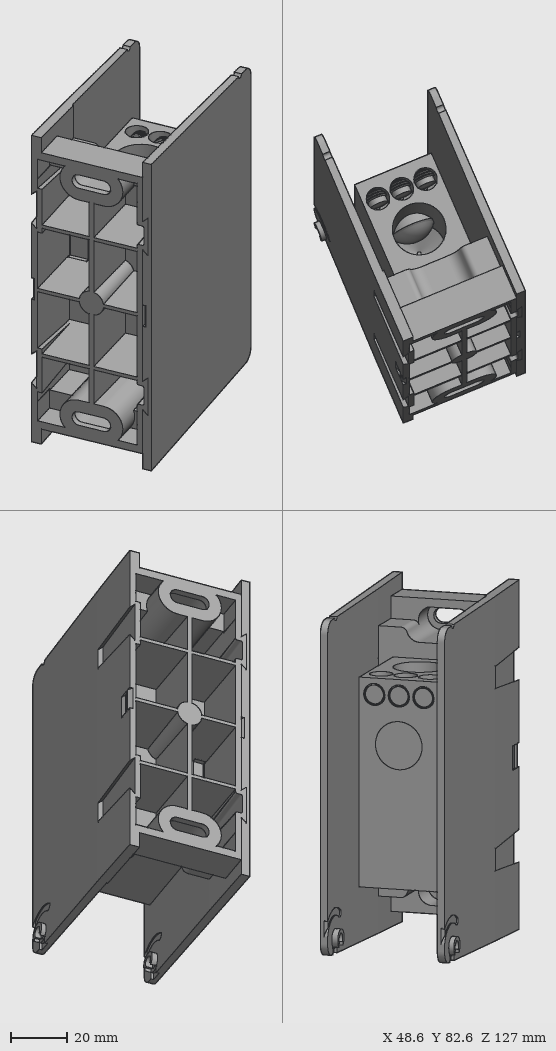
import cadquery as cq
import math

width = 48.6
height = 127.01
depth = 82.55
width_between_faces = 47.26

wall_thickness = 3.38
wall_end_slope = 0.034
wall_corner_radius = 4.6
wall_face_draft = 0.6
housing_wall_x = -width_between_faces / 2
plate_x = width_between_faces / 2 - wall_thickness
wall_foot_extra = 0.5
notch_y = 73.5
notch_radius = 1.15

hinge_y = 74.5
hinge_z = -55.4
hinge_diameter = 7.11
hinge_hole_diameter = 4.06
hinge_hole_floor = 0.4
housing_hinge_height = width - width_between_faces
plate_hinge_height = 1.7
channel_width = 4.6
channel_top_drop = 1.35
channel_depth = 1.0
groove_inner_radius = 8.3
groove_outer_radius = 11.1
groove_depth = 1.0
groove_end_angle = 33
groove_start_angle = 80
lead_in_length = 1.4
lead_in_depth = 2.0

base_half_width = plate_x
end_half_height = 57.25
end_depth = 13.0
deck_y = 26.75
skin = 1.5
end_skin = 3.2
cavity_left = -21.2
cavity_right = 18.0
cavity_half_height = 54.15
deep_cavity_half_height = 46.8
cavity_draft = 1.0
rib_thickness = 1.4
spine_thickness = 1.9
rib_spacing = 26.7
pillar_diameter = 9.6

ledge_height = 2.3
ledge_pocket_half_height = 13.1
ledge_pocket_skin = 0.75

slot_z = 49.1
deck_half_height = slot_z
slot_floor = 2.5
slot_length = 15.24
slot_width = 5.56
boss_spacing = 9.6
boss_radius = 7.6
recess_radius = 5.1
recess_mouth_radius = 2.3

dovetail_z = 33.1
dovetail_depth = 2.0
dovetail_mouth = 5.9
dovetail_floor = 7.7
dovetail_narrowing = 1.9
backing_half_width = 9.1
backing_thickness = 2.2
tab_pocket_end = 20.7
tab_pocket_half_width = 4.0
tab_pocket_narrowing = 1.4
tab_pocket_rounding = 0.7

snap_half_height = 4.4
snap_lip = 1.25
snap_lip_length = 1.8
snap_bar_end = 2.8
snap_floor_end = 5.2
snap_ramp_end = 7.1
snap_depth = 0.8

block_half_width = 14.83
block_half_height = 38.1
block_top_y = 65.0
main_bore_diameter = 19.05
main_bore_y = 41.1
main_bore_depth = 33.0
main_screw_diameter = 17.48
main_screw_tip_diameter = 15.88
main_screw_chamfer = 0.7
main_screw_tip_y = 42.4
main_screw_shoulder_y = 46.4
main_screw_inset = 24.0
tap_bore_diameter = 8.33
tap_bore_y = 57.0
tap_bore_pitch = 9.2
tap_positions = [index * tap_bore_pitch for index in (-1, 0, 1)]
tap_bore_depth = 12.0
tap_screw_diameter = 7.92
tap_screw_core = 6.91
tap_screw_tip_y = 55.4
tap_screw_shoulder_y = 56.0
tap_screw_thread_y = 58.2
tap_screw_inset = 6.0
thread_pitch = 0.9
drill_point_angle = 118
drill_point_flat = 1.4


def box(x_range, y_range, z_range):
    """Box between the given limits."""
    size = [high - low for low, high in (x_range, y_range, z_range)]
    corner = (x_range[0], y_range[0], z_range[0])
    return cq.Workplane("XY").box(*size, centered=False).translate(corner)


def side_prism(x_near, near_half, x_far, far_half, centre_z, narrowing, y_end):
    """Trapezoid in XZ that narrows along Z while it runs from the mounting face to y_end."""
    def outline(loss):
        return [
            (x_near, centre_z - near_half + loss),
            (x_far, centre_z - far_half + loss),
            (x_far, centre_z + far_half - loss),
            (x_near, centre_z + near_half - loss),
        ]

    return (
        cq.Workplane("XZ").polyline(outline(0)).close()
        .workplane(offset=-y_end).polyline(outline(narrowing)).close()
        .loft(ruled=True)
    )


def dovetail(face_x, centre_z):
    """Dovetail that starts at a wall face and widens towards +X."""
    return side_prism(
        face_x, dovetail_mouth, face_x + dovetail_depth, dovetail_floor,
        centre_z, dovetail_narrowing, deck_y,
    )


def wall_blank(face_x, thickness):
    """Flat wall with sloping ends and rounded outer corners."""
    edge_half = height / 2 - wall_end_slope * depth
    outline = [(0, -height / 2), (depth, -edge_half), (depth, edge_half), (0, height / 2)]
    blank = cq.Workplane("YZ").polyline(outline).close().extrude(thickness)
    return blank.edges("|X and >Y").fillet(wall_corner_radius).translate((face_x, 0, 0))


def edge_notch(face_x):
    """Half-round notch in the +Z end of a wall."""
    end_z = height / 2 - wall_end_slope * notch_y
    return cq.Workplane("YZ", origin=(face_x, notch_y, end_z)).circle(notch_radius).extrude(wall_thickness)


def face_draft(face_x):
    """Wedge that sets the -X face back between the deck and the wall edge."""
    outline = [(face_x, deck_y), (face_x + wall_face_draft, depth), (face_x, depth)]
    return cq.Workplane("XY").polyline(outline).close().extrude(height / 2, both=True)


def snap_recess(face_x):
    """Lead-in chamfer and ramped pocket on a wall face, either side of a flush bar."""
    lead_in = [(face_x, 0), (face_x + snap_lip, 0), (face_x, snap_lip_length)]
    pocket = [
        (face_x, snap_bar_end),
        (face_x + snap_depth, snap_bar_end),
        (face_x + snap_depth, snap_floor_end),
        (face_x, snap_ramp_end),
    ]
    sketch = cq.Workplane("XY").polyline(lead_in).close().polyline(pocket).close()
    return sketch.extrude(snap_half_height, both=True)


def around_hinge(radius, angle):
    """Point in YZ about the hinge axis; the angle is from +Z towards +Y."""
    turn = math.radians(angle)
    return (hinge_y + radius * math.sin(turn), hinge_z + radius * math.cos(turn))


def guide_groove(face_x):
    """Arc groove about the hinge axis, round at one end and open at the wall edge."""
    middle_radius = (groove_inner_radius + groove_outer_radius) / 2
    cap_angle = -groove_end_angle - math.degrees((groove_outer_radius - middle_radius) / middle_radius)
    sketch = (
        cq.Workplane("YZ", origin=(face_x, 0, 0))
        .moveTo(*around_hinge(groove_outer_radius, groove_start_angle))
        .threePointArc(around_hinge(groove_outer_radius, 0),
                       around_hinge(groove_outer_radius, -groove_end_angle))
        .threePointArc(around_hinge(middle_radius, cap_angle),
                       around_hinge(groove_inner_radius, -groove_end_angle))
        .threePointArc(around_hinge(groove_inner_radius, 0),
                       around_hinge(groove_inner_radius, groove_start_angle))
        .close()
    )
    deep_groove = sketch.extrude(lead_in_depth)
    shallow = box((face_x, face_x + groove_depth), (0, depth), (-height / 2, 0))
    lead_in_outline = [
        (face_x, depth - lead_in_length),
        (face_x + groove_depth, depth - lead_in_length),
        (face_x + lead_in_depth, depth),
        (face_x, depth),
    ]
    lead_in = cq.Workplane("XY").polyline(lead_in_outline).close().extrude(-height / 2)
    return deep_groove.intersect(shallow.union(lead_in))


def hinge_boss(face_x, boss_height):
    """Round boss that stands out from the wall face towards -X."""
    tip = cq.Workplane("YZ", origin=(face_x - boss_height, hinge_y, hinge_z))
    return tip.circle(hinge_diameter / 2).extrude(boss_height + wall_thickness / 2)


def hinge_hole(face_x, boss_height):
    """Blind hole of the hinge, with the channel that leads into it through the boss."""
    tip = cq.Workplane("YZ", origin=(face_x - boss_height, hinge_y, hinge_z))
    hole = tip.circle(hinge_hole_diameter / 2).extrude(boss_height + wall_face_draft + hinge_hole_floor)
    channel = box(
        (face_x - boss_height, face_x + wall_face_draft),
        (hinge_y - channel_width / 2, hinge_y + channel_width / 2),
        (hinge_z - hinge_diameter / 2, hinge_z - channel_top_drop),
    )
    return hole.union(channel)


def wall_channel(face_x):
    """Channel in the wall face between the hinge and the -Z end of the wall."""
    return box(
        (face_x, face_x + wall_face_draft + channel_depth),
        (hinge_y - channel_width / 2, hinge_y + channel_width / 2),
        (-height / 2, hinge_z),
    )


def side_wall(face_x, boss_height):
    """Complete side wall with its -X face at face_x."""
    wall = wall_blank(face_x, wall_thickness)
    cutters = [edge_notch, face_draft, snap_recess, guide_groove, wall_channel]
    for make_cutter in cutters:
        wall = wall.cut(make_cutter(face_x))
    for side in (-1, 1):
        wall = wall.cut(dovetail(face_x, side * dovetail_z))
    wall = wall.union(hinge_boss(face_x, boss_height))
    return wall.cut(hinge_hole(face_x, boss_height))


def rounded_bar(radius, centre_z, y_start, y_end):
    """Slot-shaped bar along Y whose round ends are boss_spacing apart along X."""
    bar = cq.Workplane("XZ", origin=(0, y_start, centre_z))
    return bar.slot2D(boss_spacing + 2 * radius, 2 * radius).extrude(y_start - y_end)


def tapered_cell(x_range, z_range):
    """Cavity cell that gets smaller towards the deck."""
    centre = ((x_range[0] + x_range[1]) / 2, 0, (z_range[0] + z_range[1]) / 2)
    cell = cq.Workplane("XZ", origin=centre).rect(x_range[1] - x_range[0], z_range[1] - z_range[0])
    return cell.extrude(-(deck_y - skin), taper=cavity_draft)


def tab_pocket(centre_z):
    """Pocket inside a dovetail tab, with a flared mouth and rounded corners."""
    radius = tab_pocket_rounding
    arc_rise = radius * (1 - math.sqrt(0.5))
    mouth_x = cavity_right
    end_x = tab_pocket_end

    def outline(plane, half):
        low = centre_z - half
        high = centre_z + half
        return (
            plane.moveTo(mouth_x - skin, low - radius)
            .lineTo(mouth_x, low - radius)
            .threePointArc((mouth_x + arc_rise, low - arc_rise), (mouth_x + radius, low))
            .lineTo(end_x - radius, low)
            .threePointArc((end_x - arc_rise, low + arc_rise), (end_x, low + radius))
            .lineTo(end_x, high - radius)
            .threePointArc((end_x - arc_rise, high - arc_rise), (end_x - radius, high))
            .lineTo(mouth_x + radius, high)
            .threePointArc((mouth_x + arc_rise, high + arc_rise), (mouth_x, high + radius))
            .lineTo(mouth_x - skin, high + radius)
            .close()
        )

    mouth = outline(cq.Workplane("XZ"), tab_pocket_half_width)
    end_plane = mouth.workplane(offset=skin - deck_y)
    return outline(end_plane, tab_pocket_half_width - tab_pocket_narrowing).loft(ruled=True)


def cavities():
    """Open cells under the deck, with the bosses and backings left standing in them."""
    half_rib = rib_thickness / 2
    cells = cq.Workplane("XY")
    half_spine = spine_thickness / 2
    for x_range in ((cavity_left, -half_spine), (half_spine, cavity_right)):
        for side in (-1, 1):
            rows = (
                (half_rib, rib_spacing - half_rib),
                (rib_spacing + half_rib, deep_cavity_half_height),
            )
            for row in rows:
                cells = cells.union(tapered_cell(x_range, sorted(side * z for z in row)))
            shallow_row = sorted(side * z for z in (deep_cavity_half_height - half_rib, cavity_half_height))
            cells = cells.union(box(x_range, (0, end_depth - end_skin), shallow_row))

    for side in (-1, 1):
        cells = cells.union(tab_pocket(side * dovetail_z))
        floor_x = housing_wall_x + dovetail_depth
        cells = cells.cut(side_prism(
            floor_x, backing_half_width, floor_x + backing_thickness, backing_half_width,
            side * dovetail_z, dovetail_narrowing, deck_y,
        ))
        cells = cells.cut(rounded_bar(boss_radius, side * slot_z, 0, deck_y))
    pillar = cq.Workplane("XZ").circle(pillar_diameter / 2).extrude(-deck_y)
    return cells.cut(pillar)


def ledge_pockets():
    """Pockets that thin the deck under the two ledges."""
    inner = block_half_width - skin
    y_range = (deck_y - 2 * skin, deck_y - ledge_pocket_skin)
    pockets = cq.Workplane("XY")
    for x_range in ((cavity_left + wall_foot_extra, -inner), (inner, cavity_right - wall_foot_extra)):
        for z_range in ((-ledge_pocket_half_height, -rib_thickness / 2),
                        (rib_thickness / 2, ledge_pocket_half_height)):
            pockets = pockets.union(box(x_range, y_range, z_range))
    return pockets


def make_housing():
    """Base with mounting slots, deck and dovetail tabs, in one piece with the -X wall."""
    x_range = (-base_half_width, base_half_width)
    deck = box(x_range, (0, deck_y), (-deck_half_height, deck_half_height))
    recesses = [rounded_bar(recess_radius, side * slot_z, slot_floor, deck_y) for side in (-1, 1)]
    for recess in recesses:
        deck = deck.cut(recess)
    mouth_edges = deck.faces("<Z or >Z").edges("|Y").edges("not(<X or >X)")
    deck = mouth_edges.fillet(recess_mouth_radius)

    base = box(x_range, (0, end_depth), (-end_half_height, end_half_height)).union(deck)
    ledge_half_height = ledge_pocket_half_height + skin
    for side in (-1, 1):
        ledge_x = sorted((side * block_half_width, side * base_half_width))
        ledge_y = (deck_y - skin, deck_y + ledge_height)
        base = base.union(box(ledge_x, ledge_y, (-ledge_half_height, ledge_half_height)))
        base = base.union(dovetail(plate_x, side * dovetail_z))

    foot_x = housing_wall_x + wall_thickness
    foot_limit = box((foot_x, foot_x + wall_foot_extra), (0, deck_y), (-height / 2, height / 2))
    foot = wall_blank(foot_x, wall_foot_extra).intersect(foot_limit)
    housing = base.union(foot).union(side_wall(housing_wall_x, housing_hinge_height))

    housing = housing.cut(cavities()).cut(ledge_pockets())
    for recess in recesses:
        housing = housing.cut(recess)
    for side in (-1, 1):
        slot = cq.Workplane("XZ", origin=(0, 0, side * slot_z)).slot2D(slot_length, slot_width)
        housing = housing.cut(slot.extrude(-end_depth))
    return housing


def blind_bore(x, y, diameter, bore_depth):
    """Bore with a drill point, from the +Z end of the block."""
    radius = diameter / 2
    flat_radius = drill_point_flat / 2
    point = (radius - flat_radius) / math.tan(math.radians(drill_point_angle / 2))
    outline = [
        (0, 0),
        (radius, 0),
        (radius, -bore_depth),
        (flat_radius, -bore_depth - point),
        (0, -bore_depth - point),
    ]
    bore = cq.Workplane("XZ").polyline(outline).close().revolve(360, (0, 0), (0, 1))
    return bore.translate((x, y, block_half_height))


def domed_screw(tip_diameter, tip_y, shoulder_y, body_diameter, chamfer):
    """Screw along Y from a domed tip, over a chamfer, to a body that ends at the top of the block."""
    radius = tip_diameter / 2
    body_radius = body_diameter / 2
    dome_height = shoulder_y - tip_y
    dome_radius = (radius ** 2 + dome_height ** 2) / (2 * dome_height)
    half_angle = math.asin(radius / dome_radius) / 2
    middle = (dome_radius * math.sin(half_angle), tip_y + dome_radius * (1 - math.cos(half_angle)))
    return (
        cq.Workplane("XY").moveTo(0, tip_y)
        .threePointArc(middle, (radius, shoulder_y))
        .lineTo(body_radius, shoulder_y + chamfer)
        .lineTo(body_radius, block_top_y)
        .lineTo(0, block_top_y)
        .close()
        .revolve(360, (0, 0), (0, 1))
    )


def make_main_screw():
    """Large clamping screw above the main bore."""
    screw = domed_screw(
        main_screw_tip_diameter, main_screw_tip_y, main_screw_shoulder_y,
        main_screw_diameter, main_screw_chamfer,
    )
    return screw.translate((0, 0, block_half_height - main_screw_inset))


def tap_screw_envelope():
    """Thread diameter of a small screw, over its threaded length."""
    body = cq.Workplane("XZ", origin=(0, tap_screw_thread_y, 0)).circle(tap_screw_diameter / 2)
    return body.extrude(tap_screw_thread_y - block_top_y)


def make_tap_screw(x):
    """Small clamping screw: plain domed tip and a threaded body with ring-shaped ridges."""
    core = tap_screw_core / 2
    crest = tap_screw_diameter / 2
    points = [(0, tap_screw_thread_y), (core, tap_screw_thread_y)]
    turns = int((block_top_y - tap_screw_thread_y) / thread_pitch)
    for turn in range(turns):
        start = tap_screw_thread_y + turn * thread_pitch
        points.append((crest, start + thread_pitch / 2))
        points.append((core, start + thread_pitch))
    points += [(core, block_top_y), (0, block_top_y)]
    thread = cq.Workplane("XY").polyline(points).close().revolve(360, (0, 0), (0, 1))
    screw = domed_screw(
        tap_screw_core, tap_screw_tip_y, tap_screw_shoulder_y,
        tap_screw_core, tap_screw_thread_y - tap_screw_shoulder_y,
    ).union(thread)
    return screw.translate((x, 0, block_half_height - tap_screw_inset))


def make_block():
    """Connector block with one main bore, three tap bores and a hole for every screw."""
    block = box(
        (-block_half_width, block_half_width),
        (deck_y, block_top_y),
        (-block_half_height, block_half_height),
    )
    block = block.cut(blind_bore(0, main_bore_y, main_bore_diameter, main_bore_depth))
    block = block.cut(make_main_screw())
    for x in tap_positions:
        block = block.cut(blind_bore(x, tap_bore_y, tap_bore_diameter, tap_bore_depth))
        hole = tap_screw_envelope().translate((x, 0, block_half_height - tap_screw_inset))
        block = block.cut(hole)
    return block


housing = make_housing()
end_plate = side_wall(plate_x, plate_hinge_height)
block = make_block()
main_screw = make_main_screw()
tap_screws = [make_tap_screw(x) for x in tap_positions]

result = cq.Compound.makeCompound([
    housing.val(),
    end_plate.val(),
    block.val(),
    main_screw.val(),
    *[screw.val() for screw in tap_screws],
])